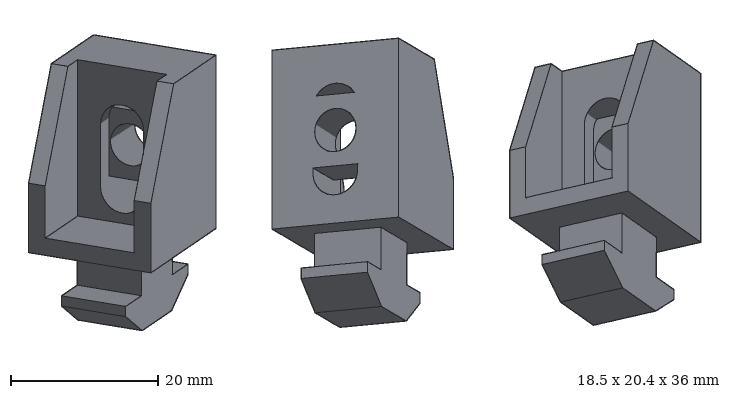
import cadquery as cq

housing_width = 18.5
housing_depth = 19.98
housing_height = 25.0
top_depth = 13.0
front_edge_height = 10.0

back_wall = 10.0
side_wall = 2.52
floor_thickness = 2.5

slot_width = 6.5
slot_bottom = 3.95
slot_top = 19.5
bar_bottom = 8.0
bar_height = 10.0
bar_setback = 2.52
hole_diameter = 6.0

overall_height = 36.0
foot_width = 9.72
foot_center = 9.2
stem_depth = 9.45
stem_height = 5.9
head_depth = 19.15
head_lip = 1.48
head_bottom_depth = 9.05


def box(width, depth, height, back, bottom):
    """Box centred on X, extending toward -Y from its back and up from its bottom."""
    return (
        cq.Workplane("XY")
        .box(width, depth, height, centered=(True, False, False))
        .translate((0, back - depth, bottom))
    )


def extrude_profile(points, width):
    """Extrude a closed (Y, Z) outline symmetrically along X."""
    return cq.Workplane("YZ").polyline(points).close().extrude(width / 2, both=True)


def make_housing():
    outline = [
        (0, 0),
        (0, housing_height),
        (-top_depth, housing_height),
        (-housing_depth, front_edge_height),
        (-housing_depth, 0),
    ]
    pocket = box(
        housing_width - 2 * side_wall,
        housing_depth - back_wall,
        housing_height - floor_thickness,
        -back_wall,
        floor_thickness,
    )
    return extrude_profile(outline, housing_width).cut(pocket)


def make_slot():
    return (
        cq.Workplane("XZ")
        .center(0, (slot_bottom + slot_top) / 2)
        .slot2D(slot_top - slot_bottom, slot_width, 90)
        .extrude(back_wall)
    )


def make_bar(slot):
    """Bar filling the middle of the slot, set back from the pocket and flush with the back."""
    bar = box(slot_width, back_wall - bar_setback, bar_height, 0, bar_bottom)
    hole = (
        cq.Workplane("XZ")
        .center(0, bar_bottom + bar_height / 2)
        .circle(hole_diameter / 2)
        .extrude(back_wall)
    )
    return bar.intersect(slot).cut(hole)


def make_foot():
    foot_bottom = housing_height - overall_height
    half = [
        (stem_depth / 2, 0),
        (stem_depth / 2, -stem_height),
        (head_depth / 2, -stem_height),
        (head_depth / 2, -stem_height - head_lip),
        (head_bottom_depth / 2, foot_bottom),
    ]
    back_side = [(offset - foot_center, z) for offset, z in half]
    front_side = [(-offset - foot_center, z) for offset, z in reversed(half)]
    return extrude_profile(back_side + front_side, foot_width)


slot = make_slot()
result = make_housing().cut(slot).union(make_bar(slot)).union(make_foot())